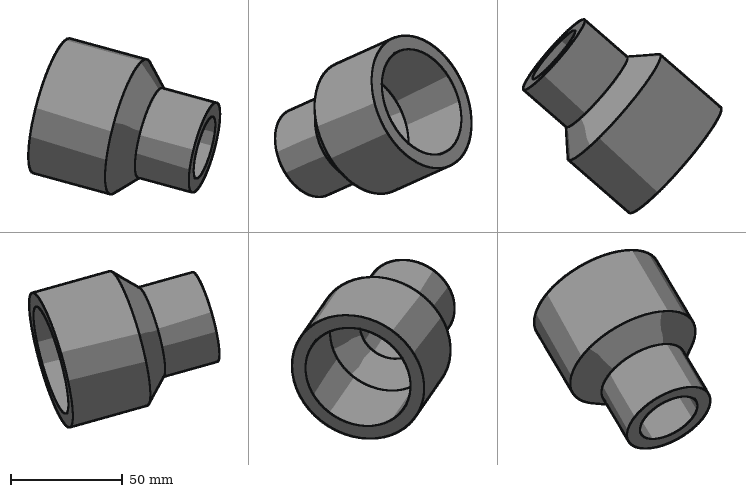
import cadquery as cq

total_length = 73.0
large_length = 36.7
large_outer_radius = 63.0 / 2
small_outer_radius = 42.0 / 2
large_bore_radius = 50.0 / 2
small_bore_radius = 28.8 / 2
large_bore_length = 34.0

outer_cone_end = large_length + large_outer_radius - small_outer_radius
bore_cone_end = large_bore_length + large_bore_radius - small_bore_radius

wall_section = [
    (0, large_outer_radius),
    (large_length, large_outer_radius),
    (outer_cone_end, small_outer_radius),
    (total_length, small_outer_radius),
    (total_length, small_bore_radius),
    (bore_cone_end, small_bore_radius),
    (large_bore_length, large_bore_radius),
    (0, large_bore_radius),
]

result = (
    cq.Workplane("XY")
    .polyline(wall_section)
    .close()
    .revolve(360, (0, 0, 0), (1, 0, 0))
)